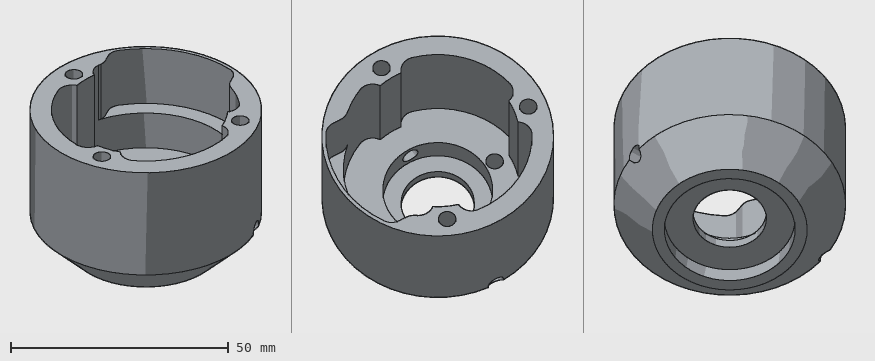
import cadquery as cq
import math

outer_radius = 26.6
height = 37.0
cone_height = 9.05
bottom_radius = 17.75

cavity_radius = 21.65
cavity_depth = 24.5
floor_z = height - cavity_depth
boss_inner_radius = 18.8
boss_half_angle = 9.1
lobe_end_radius = 3.5
first_boss_angle = 5.4
boss_angles = [first_boss_angle, first_boss_angle + 150, first_boss_angle + 255]

notch_radius = 25.7
notch_half_width = 15.0
notch_depth = 15.0
notch_round = 3.5

hole_diameter = 4.0
screw_circle_radius = 22.2
screw_depth = 10.0
drill_point_angle = 118.0

bore_radius = 8.4
seat_radius = 12.6
seat_depth = 6.0
underside_recess_radius = 15.0
underside_recess_depth = 4.0
floor_hole_y = -15.1
floor_hole_bottom_z = 3.0
cross_hole_z = 9.5


def polar(radius, degrees):
    angle = math.radians(degrees)
    return radius * math.cos(angle), radius * math.sin(angle)


def disc(radius, bottom_z, top_z):
    return cq.Workplane("XY").workplane(offset=bottom_z).circle(radius).extrude(top_z - bottom_z)


def point_towards(center, radius, target):
    """Point at the given radius from center, in the direction of target."""
    direction = math.atan2(target[1] - center[1], target[0] - center[0])
    return center[0] + radius * math.cos(direction), center[1] + radius * math.sin(direction)


def arc_middle(center, radius, start, end):
    chord_middle = ((start[0] + end[0]) / 2, (start[1] + end[1]) / 2)
    return point_towards(center, radius, chord_middle)


def make_cavity():
    center_radius = cavity_radius - lobe_end_radius
    cosine = (center_radius**2 + boss_inner_radius**2 - lobe_end_radius**2) / (
        2 * center_radius * boss_inner_radius
    )
    tangent_offset = boss_half_angle + math.degrees(math.acos(cosine))

    outline = cq.Workplane("XY").workplane(offset=floor_z)
    outline = outline.moveTo(*polar(cavity_radius, boss_angles[0] - tangent_offset))
    next_angles = boss_angles[1:] + [boss_angles[0] + 360]
    for angle, next_angle in zip(boss_angles, next_angles):
        entry = polar(cavity_radius, angle - tangent_offset)
        first_corner = polar(boss_inner_radius, angle - boss_half_angle)
        second_corner = polar(boss_inner_radius, angle + boss_half_angle)
        leaving = polar(cavity_radius, angle + tangent_offset)
        entry_center = polar(center_radius, angle - tangent_offset)
        leaving_center = polar(center_radius, angle + tangent_offset)
        outline = (
            outline
            .threePointArc(arc_middle(entry_center, lobe_end_radius, entry, first_corner), first_corner)
            .threePointArc(polar(boss_inner_radius, angle), second_corner)
            .threePointArc(arc_middle(leaving_center, lobe_end_radius, second_corner, leaving), leaving)
            .threePointArc(
                polar(cavity_radius, (angle + next_angle) / 2),
                polar(cavity_radius, next_angle - tangent_offset),
            )
        )
    return outline.close().extrude(cavity_depth)


def mirrored(point):
    return -point[0], point[1]


def make_notch():
    flare_x = notch_half_width + notch_round
    flare_center = (flare_x, math.sqrt((cavity_radius + notch_round) ** 2 - flare_x**2))
    flare_start = point_towards(flare_center, notch_round, (0, 0))
    flare_end = (notch_half_width, flare_center[1])
    flare_middle = arc_middle(flare_center, notch_round, flare_start, flare_end)

    corner_x = notch_half_width - notch_round
    corner_center = (corner_x, math.sqrt((notch_radius - notch_round) ** 2 - corner_x**2))
    corner_start = (notch_half_width, corner_center[1])
    corner_end = polar(notch_radius, math.degrees(math.atan2(corner_center[1], corner_x)))
    corner_middle = arc_middle(corner_center, notch_round, corner_start, corner_end)

    return (
        cq.Workplane("XY").workplane(offset=height - notch_depth)
        .moveTo(*flare_start)
        .threePointArc(flare_middle, flare_end)
        .lineTo(*corner_start)
        .threePointArc(corner_middle, corner_end)
        .threePointArc((0, notch_radius), mirrored(corner_end))
        .threePointArc(mirrored(corner_middle), mirrored(corner_start))
        .lineTo(*mirrored(flare_end))
        .threePointArc(mirrored(flare_middle), mirrored(flare_start))
        .threePointArc((0, cavity_radius), flare_start)
        .close()
        .extrude(notch_depth)
    )


def make_screw_hole(angle):
    hole_radius = hole_diameter / 2
    tip_length = hole_radius / math.tan(math.radians(drill_point_angle / 2))
    profile = (
        cq.Workplane("XZ")
        .polyline([
            (0, 0),
            (hole_radius, 0),
            (hole_radius, -screw_depth),
            (0, -screw_depth - tip_length),
        ])
        .close()
    )
    x, y = polar(screw_circle_radius, angle)
    return profile.revolve(360, (0, 0), (0, 1)).translate((x, y, height))


body = (
    cq.Workplane("XZ")
    .polyline([
        (0, 0),
        (bottom_radius, 0),
        (outer_radius, cone_height),
        (outer_radius, height),
        (0, height),
    ])
    .close()
    .revolve(360, (0, 0), (0, 1))
)

body = body.cut(make_cavity()).cut(make_notch())
for boss_angle in boss_angles:
    body = body.cut(make_screw_hole(boss_angle))

body = body.cut(disc(bore_radius, 0, floor_z))
body = body.cut(disc(seat_radius, floor_z - seat_depth, floor_z))
body = body.cut(disc(underside_recess_radius, 0, underside_recess_depth))

floor_hole = disc(hole_diameter / 2, floor_hole_bottom_z, floor_z)
body = body.cut(floor_hole.translate((0, floor_hole_y, 0)))

cross_hole = (
    cq.Workplane("YZ")
    .center(0, cross_hole_z)
    .circle(hole_diameter / 2)
    .extrude(outer_radius, both=True)
)
result = body.cut(cross_hole)